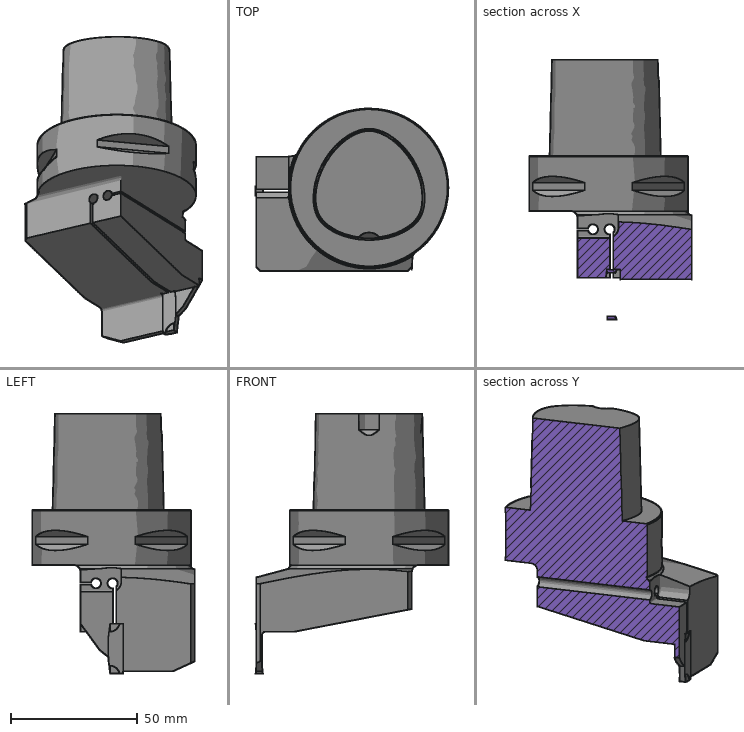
import cadquery as cq
import math


shank_length = 38.0
shank_base_diameter = 44.2
shank_taper = 1 / 20
shank_top_diameter = shank_base_diameter - shank_length * shank_taper
lobe_eccentricity = 1.35
shank_outline_points = 72

key_radius = 5.2
key_depth = 6.3
key_axis_y = -22.9

flange_radius = 63.0 / 2
flange_height = 22.0
flange_chamfer = 0.4

slot_count = 4
slot_floor_radius = 27.9
slot_floor_width = 2.9
slot_mouth_width = 8.0
slot_center_z = -12.2

neck_top_radius = 31.0
neck_bottom_radius = 32.1
neck_height = 1.4
shoulder_angle = 15.0
shoulder_outer_radius = 60.0
root_fillet = 2.6

blade_face_x = -44.7
blade_thickness = 2.3
blade_back_x = blade_face_x + blade_thickness
block_right_x = 17.0
block_front_y = -33.0
block_back_y = 12.4
corner_chamfer = 1.6
block_bottom_z = -48.4
block_ramp_x = -29.4
block_right_bottom_z = -39.4
blade_root_fillet = 1.5
blade_bottom_z = -64.1
blade_slope_y = -24.3
blade_front_bottom_z = -60.1
jaw_back_z = -45.1
jaw_bend_y = 4.8
jaw_bend_z = -55.6
jaw_tip_y = 1.2
jaw_tip_z = -58.5

hole_diameter = 3.9
hole_z = -29.2
rear_hole_y = 6.2
front_hole_y = -0.4
rear_slit_width = 0.8
jaw_slit_width = 1.1
jaw_slit_y = -1.2
step_wall_x = -31.8
step_floor_z = -32.6
step_arc_start_y = 0.4
step_radius = 4.3
step_fillet = 0.8

insert_width = 3.0
insert_face_x = -45.0
insert_back_x = insert_face_x + insert_width
insert_seat_y = -4.6
insert_top_z = -45.2
insert_bottom_z = -65.0
insert_back_y = 1.3
insert_tip_y = 0.6
insert_tip_height = 5.4
head_height = 3.2
head_relief_y = -3.2
head_relief_radius = 4.2


def side_sketch(x):
    """Workplane whose local axes are the global Y and Z, extruding toward +X from x."""
    return cq.Workplane("YZ", origin=(x, 0, 0))


def box(x0, x1, y0, y1, z0, z1):
    return cq.Workplane("XY", origin=(x0, y0, z0)).box(x1 - x0, y1 - y0, z1 - z0, centered=False)


def polygon_point(diameter, angle):
    """Point on a three-lobed polygon curve with one lobe pointing to +Y."""
    lobe_phase = 3 * (angle - math.pi / 2)
    support = diameter / 2 + lobe_eccentricity * math.cos(lobe_phase)
    slope = -3 * lobe_eccentricity * math.sin(lobe_phase)
    x = support * math.cos(angle) - slope * math.sin(angle)
    y = support * math.sin(angle) + slope * math.cos(angle)
    return x, y


def polygon_outline(diameter):
    step = 2 * math.pi / shank_outline_points
    return [polygon_point(diameter, i * step) for i in range(shank_outline_points)]


def make_shank():
    shank = (
        cq.Workplane("XY")
        .spline(polygon_outline(shank_base_diameter), periodic=True)
        .close()
        .workplane(offset=shank_length)
        .spline(polygon_outline(shank_top_diameter), periodic=True)
        .close()
        .loft(ruled=True)
    )
    floor_z = shank_length - key_depth
    key_notch = (
        cq.Workplane("XZ", origin=(0, key_axis_y, 0))
        .moveTo(0, shank_length)
        .lineTo(key_radius, shank_length)
        .lineTo(key_radius, floor_z)
        .lineTo(0, floor_z - key_radius)
        .close()
        .revolve(360, (0, 0, 0), (0, 1, 0))
    )
    return shank.cut(key_notch)


def make_flange():
    flange = (
        cq.Workplane("XY", origin=(0, 0, -flange_height))
        .circle(flange_radius)
        .extrude(flange_height)
        .faces(">Z")
        .chamfer(flange_chamfer)
    )
    slot_depth = flange_radius - slot_floor_radius
    outer_radius = slot_floor_radius + 2 * slot_depth
    half_floor = slot_floor_width / 2
    half_outer = slot_mouth_width - half_floor
    slot = (
        cq.Workplane("XZ")
        .moveTo(slot_floor_radius, slot_center_z - half_floor)
        .lineTo(outer_radius, slot_center_z - half_outer)
        .lineTo(outer_radius, slot_center_z + half_outer)
        .lineTo(slot_floor_radius, slot_center_z + half_floor)
        .close()
        .extrude(flange_radius, both=True)
    )
    pitch = 360 / slot_count
    for i in range(slot_count):
        flange = flange.cut(slot.rotate((0, 0, 0), (0, 0, 1), pitch * (i + 0.5)))
    return flange


def make_shoulder_envelope():
    """Turned space below the flange: a flaring neck, then a shallow cone."""
    neck_bottom_z = -flange_height - neck_height
    drop = (shoulder_outer_radius - neck_bottom_radius) * math.tan(math.radians(shoulder_angle))
    return (
        cq.Workplane("XZ")
        .moveTo(0, -flange_height)
        .lineTo(neck_top_radius, -flange_height)
        .lineTo(neck_bottom_radius, neck_bottom_z)
        .lineTo(shoulder_outer_radius, neck_bottom_z - drop)
        .lineTo(shoulder_outer_radius, insert_bottom_z)
        .lineTo(0, insert_bottom_z)
        .close()
        .revolve(360, (0, 0, 0), (0, 1, 0))
    )


def root_fillet_profile(plane, origin):
    """Concave corner between an upright wall and the flange underside."""
    return (
        cq.Workplane(plane, origin=origin)
        .lineTo(root_fillet, 0)
        .radiusArc((0, -root_fillet), -root_fillet)
        .close()
    )


def make_root_fillets():
    corner = (block_right_x, block_back_y, -flange_height)
    right_start = (block_right_x, block_front_y, -flange_height)
    back_start = (step_wall_x, block_back_y, -flange_height)
    right = root_fillet_profile("XZ", right_start).extrude(block_front_y - block_back_y)
    back = root_fillet_profile("YZ", back_start).extrude(block_right_x - step_wall_x)
    turned_corner = root_fillet_profile("XZ", corner).revolve(90, (0, 0, 0), (0, 1, 0))
    return right.union(turned_corner).union(back)


def make_block():
    """Overhanging block and the thin blade that hangs from its left end."""
    front_outline = (
        cq.Workplane("XZ", origin=(0, block_back_y, 0))
        .moveTo(blade_face_x, -flange_height)
        .lineTo(block_right_x, -flange_height)
        .lineTo(block_right_x, block_right_bottom_z)
        .lineTo(block_ramp_x, block_bottom_z)
        .lineTo(blade_back_x + blade_root_fillet, block_bottom_z)
        .radiusArc((blade_back_x, block_bottom_z - blade_root_fillet), -blade_root_fillet)
        .lineTo(blade_back_x, blade_bottom_z)
        .lineTo(blade_face_x, blade_bottom_z)
        .close()
        .extrude(block_back_y - block_front_y)
    )
    plan = (
        cq.Workplane("XY", origin=(0, 0, insert_bottom_z))
        .moveTo(blade_face_x, block_back_y)
        .lineTo(blade_face_x, block_front_y + corner_chamfer)
        .lineTo(blade_face_x + corner_chamfer, block_front_y)
        .lineTo(block_right_x - corner_chamfer, block_front_y)
        .lineTo(block_right_x, block_front_y + corner_chamfer)
        .lineTo(block_right_x, block_back_y)
        .close()
        .extrude(-insert_bottom_z)
    )
    return front_outline.intersect(plan)


def make_blade_trim():
    """Material removed from the lower corners of the blade."""
    below = insert_bottom_z
    front_corner = (
        side_sketch(blade_face_x)
        .moveTo(block_front_y, blade_front_bottom_z)
        .lineTo(blade_slope_y, blade_bottom_z)
        .lineTo(block_front_y, blade_bottom_z)
        .close()
        .extrude(blade_thickness)
    )
    below_jaw = (
        side_sketch(blade_face_x)
        .moveTo(block_back_y, jaw_back_z)
        .lineTo(jaw_bend_y, jaw_bend_z)
        .lineTo(jaw_tip_y, jaw_tip_z)
        .lineTo(insert_seat_y, jaw_tip_z)
        .lineTo(insert_seat_y, below)
        .lineTo(block_back_y, below)
        .close()
        .extrude(blade_thickness)
    )
    under_block = box(
        blade_back_x, blade_back_x + blade_root_fillet,
        insert_seat_y, block_back_y, below, block_bottom_z,
    )
    return front_corner.union(below_jaw).union(under_block)


def make_jaw_relief():
    """Two cross holes, the slits that end in them, and the step above the jaw."""
    length = block_right_x - blade_face_x
    holes = (
        side_sketch(blade_face_x)
        .pushPoints([(rear_hole_y, hole_z), (front_hole_y, hole_z)])
        .circle(hole_diameter / 2)
        .extrude(length)
    )
    rear_slit = box(
        blade_face_x, block_right_x, rear_hole_y, block_back_y + root_fillet,
        hole_z - rear_slit_width / 2, hole_z + rear_slit_width / 2,
    )
    jaw_slit = box(
        blade_face_x, block_right_x,
        jaw_slit_y - jaw_slit_width / 2, jaw_slit_y + jaw_slit_width / 2,
        insert_bottom_z, hole_z,
    )
    step_y = step_arc_start_y - step_radius
    step_back_y = block_back_y + step_radius
    step = (
        side_sketch(blade_face_x)
        .moveTo(step_back_y, -flange_height)
        .lineTo(step_y, -flange_height)
        .lineTo(step_y, step_floor_z + step_radius)
        .radiusArc((step_arc_start_y, step_floor_z), -step_radius)
        .lineTo(step_back_y, step_floor_z)
        .close()
        .extrude(step_wall_x - blade_face_x)
        .faces(">X")
        .edges("not(>Y or >Z)")
        .fillet(step_fillet)
    )
    return holes.union(rear_slit).union(jaw_slit).union(step)


def insert_profile(x):
    return (
        side_sketch(x)
        .moveTo(insert_seat_y, insert_top_z)
        .lineTo(insert_tip_y, insert_top_z)
        .lineTo(insert_back_y, insert_top_z - insert_tip_height)
        .lineTo(insert_back_y, insert_bottom_z + insert_tip_height)
        .lineTo(insert_tip_y, insert_bottom_z)
        .lineTo(insert_seat_y, insert_bottom_z)
        .close()
    )


def make_insert_head():
    """Upper cutting end of the insert, flaring to the full cutting width at the tip."""
    inner_z = insert_top_z - head_height
    flare = (
        cq.Workplane("XZ", origin=(0, insert_tip_y, 0))
        .moveTo(insert_face_x, insert_top_z)
        .lineTo(insert_back_x, insert_top_z)
        .lineTo(blade_back_x, inner_z)
        .lineTo(blade_face_x, inner_z)
        .close()
        .extrude(insert_tip_y - head_relief_y)
    )
    relief = (
        side_sketch(insert_face_x)
        .moveTo(head_relief_y, insert_top_z)
        .lineTo(insert_tip_y, insert_top_z)
        .lineTo(insert_tip_y, inner_z)
        .radiusArc((head_relief_y, insert_top_z), head_relief_radius)
        .close()
        .extrude(insert_width)
    )
    return flare.intersect(relief)


def make_insert():
    top_head = make_insert_head()
    middle_z = (insert_top_z + insert_bottom_z) / 2
    bottom_head = top_head.mirror("XY", (0, 0, middle_z))
    return insert_profile(blade_face_x).extrude(blade_thickness).union(top_head).union(bottom_head)


def make_holder():
    pocket = insert_profile(insert_face_x).extrude(insert_width)
    arm = (
        make_block()
        .cut(make_blade_trim())
        .union(make_root_fillets())
        .intersect(make_shoulder_envelope())
        .cut(make_jaw_relief())
        .cut(pocket)
    )
    return make_flange().union(make_shank()).union(arm)


holder = make_holder()
insert = make_insert()
result = cq.Compound.makeCompound([holder.val(), insert.val()])